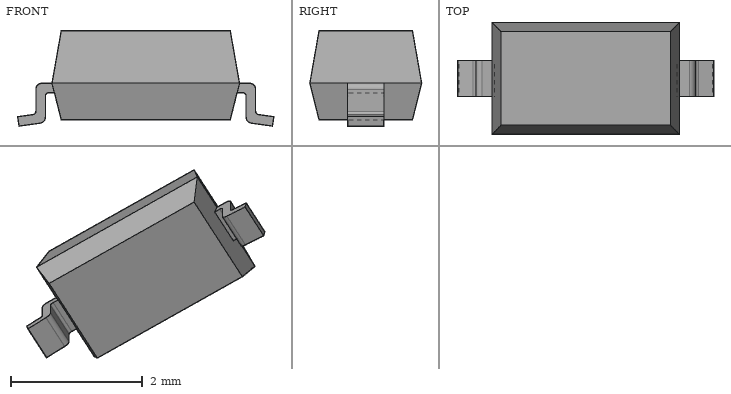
import cadquery as cq
import math

body_length = 2.847
body_width = 1.7
face_inset = 0.14
body_bottom = 0.097
parting_height = 0.655
body_top = 1.45

overall_length = 3.89
lead_width = 0.55
lead_thickness = 0.148
shank_outer_x = 1.67
lead_root_x = 1.167
foot_tilt = math.radians(8)
outer_bend_radius = 0.095
inner_bend_radius = 0.045


def body_half(end_height):
    """Tapered block from the parting plane to the smaller end face."""
    return (
        cq.Workplane("XY", origin=(0, 0, parting_height))
        .rect(body_length, body_width)
        .workplane(offset=end_height - parting_height)
        .rect(body_length - 2 * face_inset, body_width - 2 * face_inset)
        .loft(ruled=True, combine=True)
    )


def make_lead():
    """Lead on the +X side, with its foot sloping down to the tip at Z = 0."""
    tip_x = overall_length / 2
    sole_x = tip_x - lead_thickness * math.sin(foot_tilt)
    tip_top = lead_thickness * math.cos(foot_tilt)
    shank_inner_x = shank_outer_x - lead_thickness
    arm_bottom = parting_height - lead_thickness

    slope = math.tan(foot_tilt)
    heel_z = (sole_x - shank_inner_x) * slope
    instep_z = tip_top + (tip_x - shank_outer_x) * slope

    lead = (
        cq.Workplane("XZ")
        .moveTo(lead_root_x, parting_height)
        .lineTo(shank_outer_x, parting_height)
        .lineTo(shank_outer_x, instep_z)
        .lineTo(tip_x, tip_top)
        .lineTo(sole_x, 0)
        .lineTo(shank_inner_x, heel_z)
        .lineTo(shank_inner_x, arm_bottom)
        .lineTo(lead_root_x, arm_bottom)
        .close()
        .extrude(lead_width / 2, both=True)
    )
    bends = [
        (shank_outer_x, parting_height, outer_bend_radius),
        (shank_inner_x, heel_z, outer_bend_radius),
        (shank_outer_x, instep_z, inner_bend_radius),
        (shank_inner_x, arm_bottom, inner_bend_radius),
    ]
    for x, z, radius in bends:
        corner = cq.selectors.NearestToPointSelector((x, 0, z))
        lead = lead.edges("|Y").edges(corner).fillet(radius)
    return lead


right_lead = make_lead()
left_lead = right_lead.mirror("YZ")
result = body_half(body_bottom).union(body_half(body_top)).union(right_lead).union(left_lead)